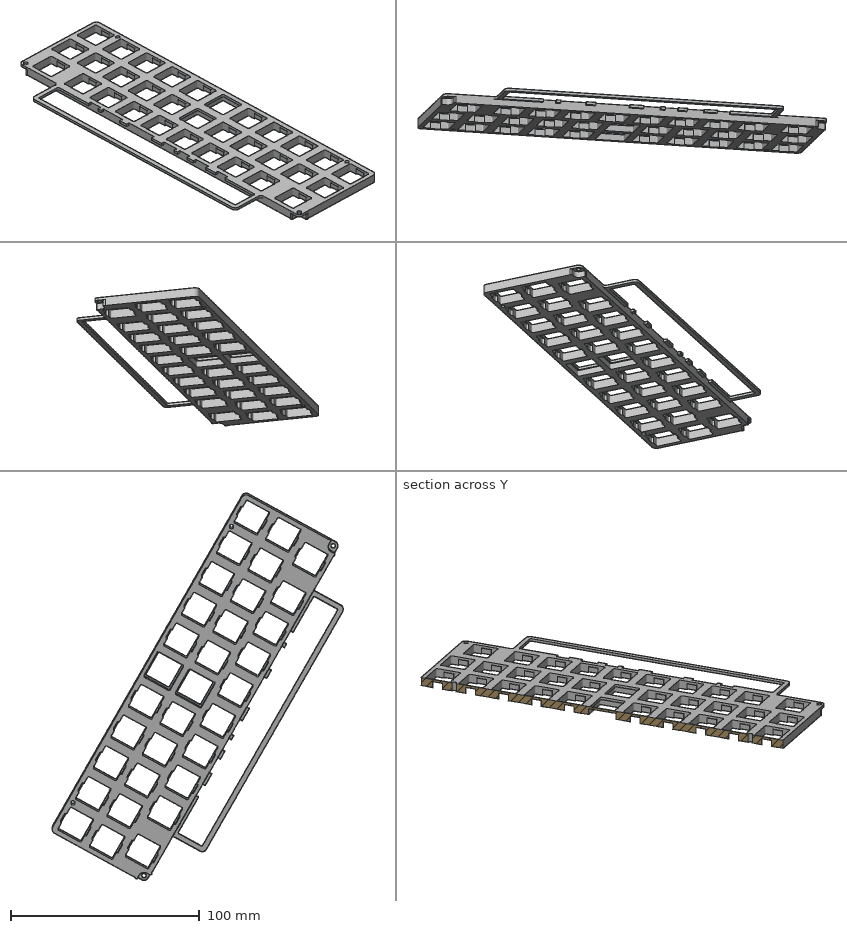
import cadquery as cq

overall_length = 210.7
plate_length = 210.0
overall_width = 77.3
total_height = 4.8
plate_thickness = 1.5
outer_radius = 2.5

side_border = 2.5
front_border = 2.7
back_border = 3.0

key_size = 14.1
key_radius = 0.6
columns = 11
pitch = (plate_length - 2 * side_border - key_size) / (columns - 1)
rows = 3
outer_bottom_key = 0.25
first_bottom_key = 1.5
inner_bottom_keys = 8

body_width = (rows - 1) * pitch + key_size + front_border + back_border
body_height = total_height - plate_thickness

clip_width = 5.5
clip_depth = 0.8
clip_corner_radius = 0.5

frame_half_length = plate_length / 2 - first_bottom_key * pitch
frame_border = 2.7
window_half_length = frame_half_length - frame_border
window_back = 2.0
frame_front = body_width - overall_width
frame_corner_radius = 2.5
frame_root_radius = 1.5

window_notches = [
    (-51.2, -44.0), (-41.7, -27.5), (-22.5, -3.8), (3.8, 13.0), (15.5, 22.8), (27.5, 36.9), (44.0, 51.2),
]

hole_diameter = 2.3
front_hole_inset = 2.5
back_hole_inset = 3.0

lip_radius = 0.74
lip_distance = 6.0
lip_overhang = (overall_length - plate_length) / 2
relief_size = lip_distance - lip_radius
relief_radius = relief_size - front_hole_inset

front_holes = [(side * (plate_length / 2 - front_hole_inset), front_hole_inset) for side in (-1, 1)]
back_holes = [
    (side * (plate_length - 2 * side_border - key_size - pitch) / 2, body_width - back_hole_inset)
    for side in (-1, 1)
]


def block(x0, x1, y0, y1, z0, z1):
    return cq.Workplane("XY").box(x1 - x0, y1 - y0, z1 - z0, centered=False).translate((x0, y0, z0))


def key_centres():
    first_x = -plate_length / 2 + side_border + key_size / 2
    first_y = front_border + key_size / 2
    inner_offsets = [first_bottom_key + i for i in range(inner_bottom_keys)]
    bottom_offsets = [outer_bottom_key] + inner_offsets + [columns - 1 - outer_bottom_key]
    bottom = [(first_x + offset * pitch, first_y) for offset in bottom_offsets]
    upper = [
        (first_x + column * pitch, first_y + row * pitch)
        for row in range(1, rows)
        for column in range(columns)
    ]
    return bottom + upper


def main_body():
    half = plate_length / 2
    return block(-half, half, 0, body_width, 0, total_height).edges("|Z").fillet(outer_radius)


def space_bar_frame():
    """Thin frame, with flared roots where it meets the front of the body."""
    half = frame_half_length
    root = frame_root_radius
    return (
        cq.Workplane("XY", origin=(0, 0, body_height))
        .moveTo(-half - root, 0)
        .radiusArc((-half, -root), root)
        .lineTo(-half, frame_front + frame_corner_radius)
        .radiusArc((-half + frame_corner_radius, frame_front), -frame_corner_radius)
        .lineTo(half - frame_corner_radius, frame_front)
        .radiusArc((half, frame_front + frame_corner_radius), -frame_corner_radius)
        .lineTo(half, -root)
        .radiusArc((half + root, 0), root)
        .close()
        .extrude(plate_thickness)
    )


def window_cut():
    half = window_half_length
    cut = block(-half, half, frame_front + frame_border, -window_back, body_height, total_height)
    cut = cut.edges("|Z").fillet(key_radius)
    for x0, x1 in window_notches:
        cut = cut.union(block(x0, x1, -window_back - key_radius, 0, body_height, total_height))
    return cut


def key_cuts():
    """Openings through the plate, each widened below it by clip notches or a wide pocket."""
    centres = key_centres()
    openings = (
        cq.Workplane("XY").pushPoints(centres).rect(key_size, key_size).extrude(total_height)
        .edges("|Z").fillet(key_radius)
    )
    wide = [(x, y) for x, y in centres if abs(x) < pitch / 4 and y > pitch]
    clipped = [centre for centre in centres if centre not in wide]
    pocket_size = key_size + 2 * clip_depth
    clips = (
        cq.Workplane("XY").pushPoints(clipped).rect(clip_width, pocket_size).extrude(body_height)
        .edges("|Z").fillet(clip_corner_radius)
    )
    wide_pockets = (
        cq.Workplane("XY").pushPoints(wide).rect(pocket_size, pocket_size).extrude(body_height)
        .edges("|Z").fillet(key_radius)
    )
    return openings.union(clips).union(wide_pockets)


def relieve_front_corner(body, side):
    """Clear the space under a corner hole and round the ends of the walls beside it."""
    corner_x = side * plate_length / 2
    lip_x = corner_x - side * lip_distance
    pocket = (
        cq.Workplane("XY").center(corner_x, 0).rect(2 * relief_size, 2 * relief_size)
        .extrude(body_height).edges("|Z").fillet(relief_radius)
    )
    lip_inset = lip_radius - lip_overhang
    lips = (
        cq.Workplane("XY")
        .pushPoints([(lip_x, lip_inset), (corner_x - side * lip_inset, lip_distance)])
        .circle(lip_radius).extrude(body_height)
    )
    return body.cut(pocket).union(lips)


result = main_body()
for corner_side in (-1, 1):
    result = relieve_front_corner(result, corner_side)
result = result.union(space_bar_frame()).cut(window_cut()).cut(key_cuts())
holes = (
    cq.Workplane("XY").pushPoints(front_holes + back_holes)
    .circle(hole_diameter / 2).extrude(total_height)
)
result = result.cut(holes)